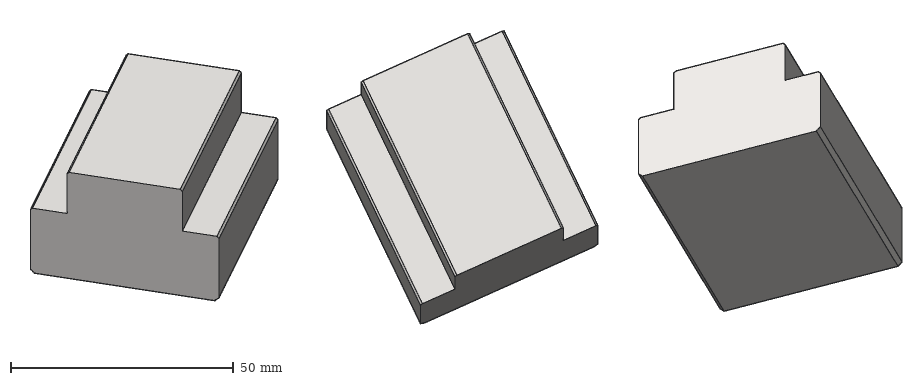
import cadquery as cq

length = 50.0
base_width = 44.0
total_height = 28.67

stem_width = 26.9
base_height = 17.5
stem_height = total_height - base_height

upper_chamfer = 0.5
bottom_chamfer = 1.0


def make_base():
    """Wide lower block, centred in X and Y, with its long edges chamfered."""
    block = cq.Workplane("XY").box(base_width, length, base_height, centered=(True, True, False))
    block = block.faces("<Z").edges("|Y").chamfer(bottom_chamfer)
    return block.faces(">Z").edges("|Y").chamfer(upper_chamfer)


def make_stem():
    """Narrow upper block standing on the base, with its top long edges chamfered."""
    block = cq.Workplane("XY").workplane(offset=base_height)
    block = block.box(stem_width, length, stem_height, centered=(True, True, False))
    return block.faces(">Z").edges("|Y").chamfer(upper_chamfer)


result = make_base().union(make_stem())